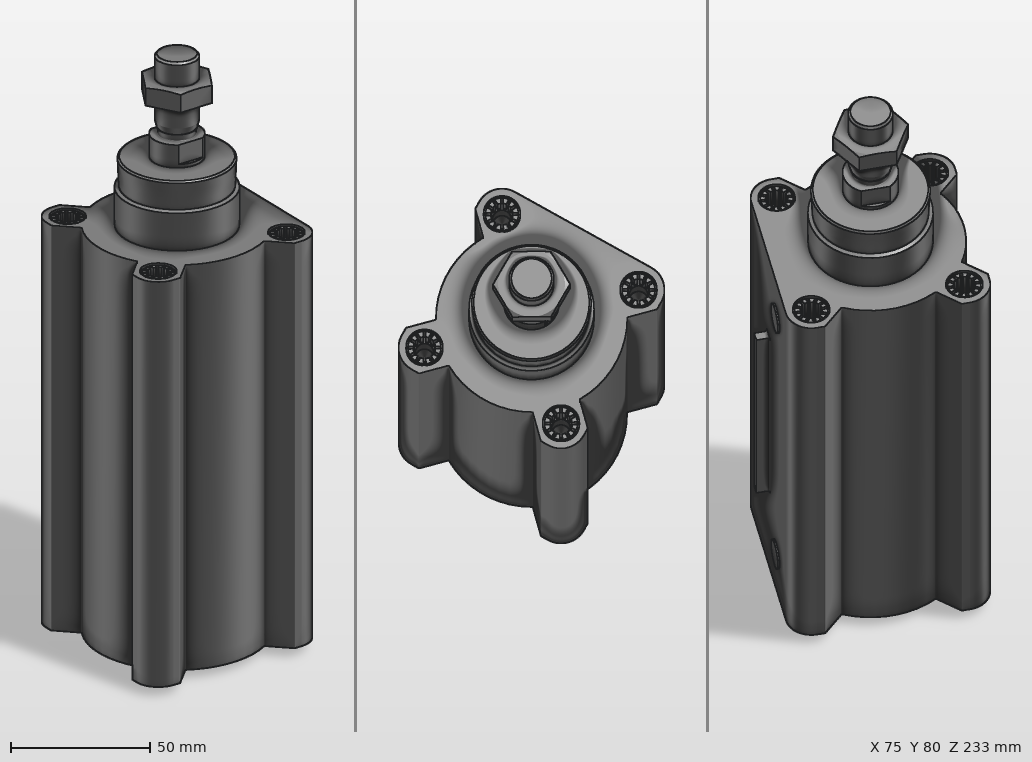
import cadquery as cq
import math

TOTAL_HEIGHT = 233.0
BARREL_BOTTOM = 4.2
BARREL_TOP = 165.3
COLLAR_TOP = 180.2
CAP_BOTTOM = 181.0
CAP_TOP = 192.3
ROD_SHOULDER = 201.5
RUNOUT_BOTTOM = 204.2
THREAD_BOTTOM = 207.0
NUT_BOTTOM = 216.0
NUT_TOP = 223.5
BARREL_HEIGHT = BARREL_TOP - BARREL_BOTTOM

BARREL_DIAMETER = 68.8
HALF_WIDTH = 37.5
LUG_RADIUS = 9.3
LUG_CENTER = HALF_WIDTH - LUG_RADIUS
LUG_FLANK_OFFSET = 12.4
NOTCH_FILLET = 0.5
BREAK_FILLET = 0.7

HEAD_DIAMETER = 13.3
HEAD_FACE_DIAMETER = 12.0
HEAD_SINK = 0.5
HEAD_BEVEL_HEIGHT = 0.7
SOCKET_ROOT_DIAMETER = 11.7
SOCKET_TIP_DIAMETER = 8.0
SOCKET_SLOTS = 12
SOCKET_SLOT_WIDTH = 1.0
SOCKET_DEPTH = 9.3
HOLE_DIAMETER = 6.8
HOLE_DEPTH = 18.6
DRILL_TIP_HALF_ANGLE = 59.0

COLLAR_DIAMETER = 45.0
COLLAR_CHAMFER = 0.7
CAP_TOP_DIAMETER = 43.0
CAP_BOTTOM_DIAMETER = 42.0
CAP_CHAMFER = 0.7

RAIL_WIDTH = 3.5
RAIL_BACK = 42.5
RAIL_BOTTOM = 44.8
RAIL_TOP = 125.0
RAIL_FILLET = 1.2
PLUG_DIAMETER = 11.0
PLUG_HEIGHT = 0.7
PLUG_X = -12.5
PLUG_INSET = 18.6

ROD_DIAMETER = 20.0
ROD_FLAT_WIDTH = 17.0
ROD_FLAT_BOTTOM = 193.7
THREAD_DIAMETER = 16.0
THREAD_TIP_DIAMETER = 14.5
THREAD_CHAMFER_HEIGHT = 1.0
NECK_DIAMETER = 13.8
NECK_FILLET = 0.5

NUT_WIDTH = 24.0
NUT_BEVEL_HEIGHT = 0.5


def cylinder(diameter, bottom, top):
    return cq.Workplane("XY").workplane(offset=bottom).circle(diameter / 2).extrude(top - bottom)


def revolved(points):
    """Solid of revolution about Z from (radius, height) points."""
    return cq.Workplane("XZ").polyline(points).close().revolve(360, (0, 0, 0), (0, 1, 0))


def make_lug():
    """Lug in the +X +Y corner, symmetric about the diagonal and reaching in to the axis."""
    flank_end = HALF_WIDTH - LUG_FLANK_OFFSET
    arc_middle = LUG_CENTER + LUG_RADIUS * math.sqrt(0.5)
    return (
        cq.Workplane("XY")
        .workplane(offset=BARREL_BOTTOM)
        .moveTo(0, 0)
        .lineTo(LUG_FLANK_OFFSET, 0)
        .lineTo(HALF_WIDTH, flank_end)
        .lineTo(HALF_WIDTH, LUG_CENTER)
        .threePointArc((arc_middle, arc_middle), (LUG_CENTER, HALF_WIDTH))
        .lineTo(flank_end, HALF_WIDTH)
        .lineTo(0, LUG_FLANK_OFFSET)
        .close()
        .extrude(BARREL_HEIGHT)
    )


def fillet_vertical_edges(body, corners, radius):
    """Rounds the full-height barrel edges that stand at the given (x, y) corners."""
    reach = 0.5
    for x, y in corners:
        box = cq.selectors.BoxSelector(
            (x - reach, y - reach, BARREL_BOTTOM), (x + reach, y + reach, BARREL_TOP)
        )
        body = body.edges("|Z").edges(box).fillet(radius)
    return body


def make_barrel():
    barrel = cylinder(BARREL_DIAMETER, BARREL_BOTTOM, BARREL_TOP)
    for quarter in range(4):
        barrel = barrel.union(make_lug().rotate((0, 0, 0), (0, 0, 1), 90 * quarter))
    back = (
        cq.Workplane("XY")
        .workplane(offset=BARREL_BOTTOM)
        .rect(2 * LUG_CENTER, HALF_WIDTH)
        .extrude(BARREL_HEIGHT)
        .translate((0, HALF_WIDTH / 2, 0))
    )
    barrel = barrel.union(back).clean()

    radius = BARREL_DIAMETER / 2
    far = (LUG_FLANK_OFFSET + math.sqrt(2 * radius**2 - LUG_FLANK_OFFSET**2)) / 2
    near = far - LUG_FLANK_OFFSET
    flank_end = HALF_WIDTH - LUG_FLANK_OFFSET
    notches = []
    breaks = []
    for side in (-1, 1):
        notches += [(side * far, near), (side * far, -near), (side * near, -far)]
        breaks += [
            (side * HALF_WIDTH, flank_end),
            (side * HALF_WIDTH, -flank_end),
            (side * flank_end, -HALF_WIDTH),
        ]
    barrel = fillet_vertical_edges(barrel, notches, NOTCH_FILLET)
    return fillet_vertical_edges(barrel, breaks, BREAK_FILLET)


def make_socket():
    """Spline socket: a round core with straight slots running out to the root circle."""
    floor = BARREL_TOP - SOCKET_DEPTH
    slots = cylinder(SOCKET_TIP_DIAMETER, floor, BARREL_TOP)
    slot_pairs = SOCKET_SLOTS // 2
    for pair in range(slot_pairs):
        slot = (
            cq.Workplane("XY")
            .workplane(offset=floor)
            .rect(HEAD_DIAMETER, SOCKET_SLOT_WIDTH)
            .extrude(SOCKET_DEPTH)
            .rotate((0, 0, 0), (0, 0, 1), 180 * pair / slot_pairs)
        )
        slots = slots.union(slot)
    return slots.intersect(cylinder(SOCKET_ROOT_DIAMETER, floor, BARREL_TOP))


def make_screw_cut():
    """Cut that leaves a bevelled screw head with a spline socket and a drilled hole in it."""
    head = HEAD_DIAMETER / 2
    head_face = BARREL_TOP - HEAD_SINK
    recess = revolved(
        [
            (0, BARREL_TOP),
            (head, BARREL_TOP),
            (head, head_face - HEAD_BEVEL_HEIGHT),
            (HEAD_FACE_DIAMETER / 2, head_face),
            (0, head_face),
        ]
    )
    bore = HOLE_DIAMETER / 2
    hole_floor = BARREL_TOP - HOLE_DEPTH
    tip = hole_floor - bore / math.tan(math.radians(DRILL_TIP_HALF_ANGLE))
    hole = revolved([(0, BARREL_TOP), (bore, BARREL_TOP), (bore, hole_floor), (0, tip)])
    return recess.union(hole).union(make_socket())


def make_rear_collar():
    collar = cylinder(COLLAR_DIAMETER, 0, BARREL_BOTTOM)
    return collar.faces("<Z").edges().chamfer(COLLAR_CHAMFER)


def make_front_collar():
    """Bearing collar with a slightly tapered cap on top."""
    collar = COLLAR_DIAMETER / 2
    cap_top = CAP_TOP_DIAMETER / 2
    return revolved(
        [
            (0, BARREL_TOP),
            (collar, BARREL_TOP),
            (collar, COLLAR_TOP),
            (CAP_BOTTOM_DIAMETER / 2, CAP_BOTTOM),
            (cap_top, CAP_TOP - CAP_CHAMFER),
            (cap_top - CAP_CHAMFER, CAP_TOP),
            (0, CAP_TOP),
        ]
    )


def make_rail():
    """Straight rail on the flat back, flared by a concave fillet along both long sides."""
    half = RAIL_WIDTH / 2
    foot = half + RAIL_FILLET
    shoulder = HALF_WIDTH + RAIL_FILLET
    bend = RAIL_FILLET * (1 - math.sqrt(0.5))
    return (
        cq.Workplane("XY")
        .workplane(offset=RAIL_BOTTOM)
        .moveTo(-foot, HALF_WIDTH)
        .threePointArc((-half - bend, HALF_WIDTH + bend), (-half, shoulder))
        .lineTo(-half, RAIL_BACK)
        .lineTo(half, RAIL_BACK)
        .lineTo(half, shoulder)
        .threePointArc((half + bend, HALF_WIDTH + bend), (foot, HALF_WIDTH))
        .close()
        .extrude(RAIL_TOP - RAIL_BOTTOM)
    )


def make_port_plug(height):
    disc = cq.Workplane("XZ").circle(PLUG_DIAMETER / 2).extrude(-PLUG_HEIGHT)
    return disc.translate((PLUG_X, HALF_WIDTH, height))


def make_housing():
    housing = make_barrel()
    housing = housing.union(make_rear_collar()).union(make_front_collar()).union(make_rail())
    for height in (BARREL_BOTTOM + PLUG_INSET, BARREL_TOP - PLUG_INSET):
        housing = housing.union(make_port_plug(height))
    for x in (-LUG_CENTER, LUG_CENTER):
        for y in (-LUG_CENTER, LUG_CENTER):
            housing = housing.cut(make_screw_cut().translate((x, y, 0)))
    rod_bore = cylinder(ROD_DIAMETER, BARREL_TOP, CAP_TOP)
    return housing.cut(rod_bore)


def make_rod():
    """Rod with wrench flats, an undercut neck and a threaded end."""
    rod = ROD_DIAMETER / 2
    thread = THREAD_DIAMETER / 2
    thread_tip = THREAD_TIP_DIAMETER / 2
    neck = NECK_DIAMETER / 2
    bend = NECK_FILLET * (1 - math.sqrt(0.5))
    body = (
        cq.Workplane("XZ")
        .moveTo(0, BARREL_TOP)
        .lineTo(rod, BARREL_TOP)
        .lineTo(rod, ROD_SHOULDER)
        .lineTo(neck + NECK_FILLET, ROD_SHOULDER)
        .threePointArc((neck + bend, ROD_SHOULDER + bend), (neck, ROD_SHOULDER + NECK_FILLET))
        .lineTo(neck, RUNOUT_BOTTOM - NECK_FILLET)
        .threePointArc((neck + bend, RUNOUT_BOTTOM - bend), (neck + NECK_FILLET, RUNOUT_BOTTOM))
        .lineTo(thread, THREAD_BOTTOM)
        .lineTo(thread, TOTAL_HEIGHT - THREAD_CHAMFER_HEIGHT)
        .lineTo(thread_tip, TOTAL_HEIGHT)
        .lineTo(0, TOTAL_HEIGHT)
        .close()
        .revolve(360, (0, 0, 0), (0, 1, 0))
    )
    flat_height = ROD_SHOULDER - ROD_FLAT_BOTTOM
    for side in (-1, 1):
        flat = cq.Workplane("XY").box(ROD_DIAMETER, ROD_DIAMETER, flat_height).translate(
            (side * (ROD_FLAT_WIDTH + ROD_DIAMETER) / 2, 0, ROD_FLAT_BOTTOM + flat_height / 2)
        )
        body = body.cut(flat)
    return body


def make_nut():
    """Hexagon nut with corners on the Y axis, its corners bevelled on top."""
    corner_diameter = NUT_WIDTH / math.cos(math.pi / 6)
    hexagon = (
        cq.Workplane("XY")
        .workplane(offset=NUT_BOTTOM)
        .transformed(rotate=(0, 0, 30))
        .polygon(6, corner_diameter)
        .extrude(NUT_TOP - NUT_BOTTOM)
    )
    face = NUT_WIDTH / 2
    corner = corner_diameter / 2
    bevel = revolved(
        [
            (0, NUT_BOTTOM),
            (corner, NUT_BOTTOM),
            (corner, NUT_TOP - NUT_BEVEL_HEIGHT),
            (face, NUT_TOP),
            (0, NUT_TOP),
        ]
    )
    return hexagon.intersect(bevel).cut(cylinder(THREAD_DIAMETER, NUT_BOTTOM, NUT_TOP))


housing = make_housing()
rod = make_rod()
nut = make_nut()

result = cq.Compound.makeCompound([housing.val(), rod.val(), nut.val()])